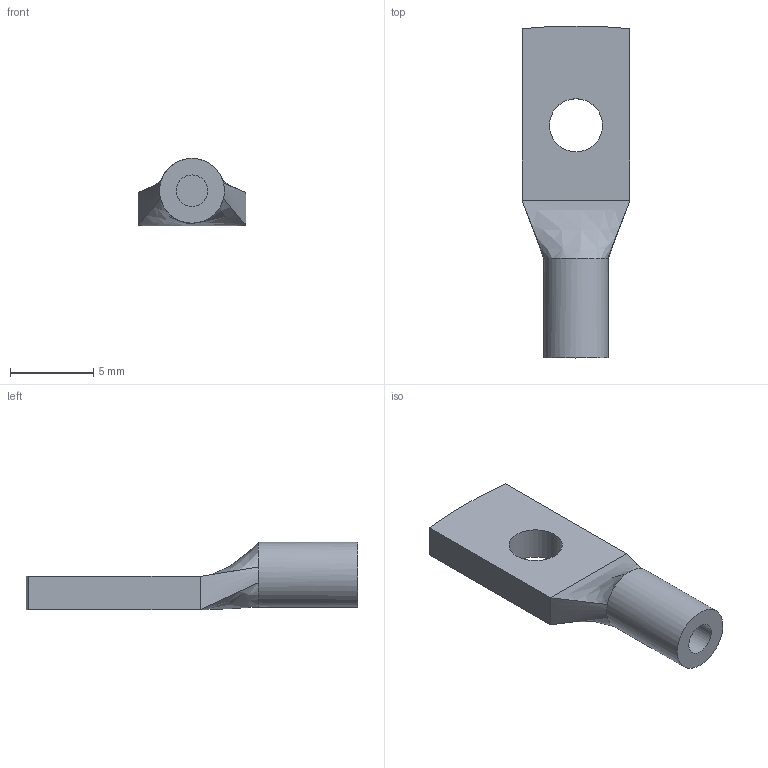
import cadquery as cq
import math

tongue_width = 6.5
tongue_thickness = 2.0
tongue_end_radius = 30.0
bolt_hole_diameter = 3.2
bolt_hole_to_tip = 6.0

tongue_length = 10.5
neck_length = 3.5
barrel_length = 6.0

barrel_diameter = 3.9
wire_hole_diameter = 1.9
wire_hole_depth = barrel_length
overall_height = 4.05

corner_angle = math.radians(14)
neck_steps = 6
crown_rise_power = 1.8

half_width = tongue_width / 2
barrel_radius = barrel_diameter / 2
barrel_axis_z = overall_height - barrel_radius
tip_y = bolt_hole_to_tip
neck_start_y = tip_y - tongue_length
barrel_start_y = neck_start_y - neck_length
barrel_end_y = barrel_start_y - barrel_length


def blend(start, end, fraction):
    return start + (end - start) * fraction


def make_tongue():
    end_arc_rise = tongue_end_radius - math.sqrt(tongue_end_radius**2 - half_width**2)
    corner_y = tip_y - end_arc_rise
    plate = (
        cq.Workplane("XY")
        .moveTo(-half_width, neck_start_y)
        .lineTo(half_width, neck_start_y)
        .lineTo(half_width, corner_y)
        .threePointArc((0, tip_y), (-half_width, corner_y))
        .close()
        .extrude(tongue_thickness)
    )
    bolt_hole = cq.Workplane("XY").circle(bolt_hole_diameter / 2).extrude(tongue_thickness)
    return plate.cut(bolt_hole)


def neck_section(fraction):
    """Four-sided outline that bulges from the tongue rectangle into the barrel circle."""
    y = blend(neck_start_y, barrel_start_y, fraction)
    rise = fraction**crown_rise_power
    corner_x = blend(half_width, barrel_radius * math.cos(corner_angle), fraction)
    corner_rise = barrel_radius * math.sin(corner_angle)
    upper_z = blend(tongue_thickness, barrel_axis_z + corner_rise, fraction)
    lower_z = blend(0, barrel_axis_z - corner_rise, fraction)
    side_x = blend(half_width, barrel_radius, fraction)
    crown_z = blend(tongue_thickness, overall_height, rise)
    base_z = blend(0, overall_height - barrel_diameter, rise)
    middle_z = (upper_z + lower_z) / 2

    corners = [
        cq.Vector(-corner_x, y, upper_z),
        cq.Vector(corner_x, y, upper_z),
        cq.Vector(corner_x, y, lower_z),
        cq.Vector(-corner_x, y, lower_z),
    ]
    side_middles = [
        cq.Vector(0, y, crown_z),
        cq.Vector(side_x, y, middle_z),
        cq.Vector(0, y, base_z),
        cq.Vector(-side_x, y, middle_z),
    ]
    edges = []
    for index, middle in enumerate(side_middles):
        start = corners[index]
        end = corners[(index + 1) % len(corners)]
        if fraction == 0:
            edges.append(cq.Edge.makeLine(start, end))
        else:
            edges.append(cq.Edge.makeThreePointArc(start, middle, end))
    return cq.Wire.assembleEdges(edges)


def make_neck():
    sections = [neck_section(step / neck_steps) for step in range(neck_steps + 1)]
    return cq.Workplane(cq.Solid.makeLoft(sections))


def make_barrel():
    barrel_start = cq.Workplane("XZ", origin=(0, barrel_start_y, barrel_axis_z))
    return barrel_start.circle(barrel_radius).extrude(barrel_length)


def make_wire_hole():
    barrel_end = cq.Workplane("XZ", origin=(0, barrel_end_y, barrel_axis_z))
    return barrel_end.circle(wire_hole_diameter / 2).extrude(-wire_hole_depth)


result = make_tongue().union(make_neck()).union(make_barrel()).cut(make_wire_hole())